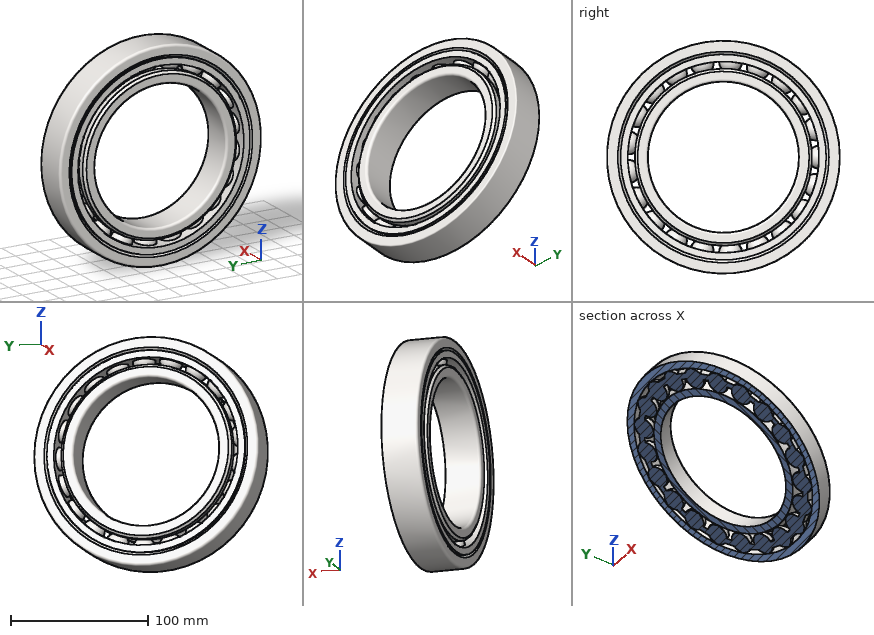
import cadquery as cq
import math

OUTER_DIAMETER = 170.0
BORE_DIAMETER = 110.0
WIDTH = 28.0

LARGE_ROUND = 2.0
OUTER_REAR_ROUND = 1.0

BALL_COUNT = 21
BALL_DIAMETER = 17.0

OUTER_LAND_RADIUS = 75.0
OUTER_FLARE_RADIUS = 77.0
OUTER_FLARE_DEPTH = 2.0

INNER_LAND_RADIUS = 64.6
INNER_BEVEL_RADIUS = 62.5
INNER_BEVEL_DEPTH = 2.0

CAGE_INNER_RADIUS = 69.7

EDGE_TOLERANCE = 0.02

outer_radius = OUTER_DIAMETER / 2
bore_radius = BORE_DIAMETER / 2
half_width = WIDTH / 2
ball_radius = BALL_DIAMETER / 2
pitch_radius = (outer_radius + bore_radius) / 2


def revolve_about_x(profile):
    """Revolve a profile drawn as (x, radius) into a ring around the X axis."""
    return profile.revolve(360, (0, 0, 0), (1, 0, 0))


def groove_half_length(land_radius):
    """Half the axial length of the ball groove where it meets a cylindrical land."""
    return math.sqrt(ball_radius**2 - (land_radius - pitch_radius) ** 2)


def round_corners(ring, corner_radius, front_round, rear_round):
    """Round the front (-X) and rear (+X) edges that lie at the given corner radius."""

    def is_corner(edge):
        box = edge.BoundingBox()
        return math.isclose(box.zmax, corner_radius, abs_tol=EDGE_TOLERANCE)

    front_edges = [edge for edge in ring.faces("<X").edges().vals() if is_corner(edge)]
    ring = ring.newObject(front_edges).fillet(front_round)
    rear_edges = [edge for edge in ring.faces(">X").edges().vals() if is_corner(edge)]
    return ring.newObject(rear_edges).fillet(rear_round)


def make_outer_ring():
    """Outer ring with flared shoulders and a ball groove on its inside."""
    groove = groove_half_length(OUTER_LAND_RADIUS)
    flare_start = half_width - OUTER_FLARE_DEPTH
    profile = (
        cq.Workplane("XY")
        .moveTo(-half_width, outer_radius)
        .lineTo(-half_width, OUTER_FLARE_RADIUS)
        .lineTo(-flare_start, OUTER_LAND_RADIUS)
        .lineTo(-groove, OUTER_LAND_RADIUS)
        .threePointArc((0, pitch_radius + ball_radius), (groove, OUTER_LAND_RADIUS))
        .lineTo(flare_start, OUTER_LAND_RADIUS)
        .lineTo(half_width, OUTER_FLARE_RADIUS)
        .lineTo(half_width, outer_radius)
        .close()
    )
    return round_corners(revolve_about_x(profile), outer_radius, LARGE_ROUND, OUTER_REAR_ROUND)


def make_inner_ring():
    """Inner ring with bevelled shoulders and a ball groove on its outside."""
    groove = groove_half_length(INNER_LAND_RADIUS)
    bevel_start = half_width - INNER_BEVEL_DEPTH
    profile = (
        cq.Workplane("XY")
        .moveTo(-half_width, bore_radius)
        .lineTo(-half_width, INNER_BEVEL_RADIUS)
        .lineTo(-bevel_start, INNER_LAND_RADIUS)
        .lineTo(-groove, INNER_LAND_RADIUS)
        .threePointArc((0, pitch_radius - ball_radius), (groove, INNER_LAND_RADIUS))
        .lineTo(bevel_start, INNER_LAND_RADIUS)
        .lineTo(half_width, INNER_BEVEL_RADIUS)
        .lineTo(half_width, bore_radius)
        .close()
    )
    return round_corners(revolve_about_x(profile), bore_radius, LARGE_ROUND, LARGE_ROUND)


def make_caged_balls():
    """Cage ring with the full set of balls joined to it, the first ball on +Y."""
    body = revolve_about_x(
        cq.Workplane("XY")
        .moveTo(0, (CAGE_INNER_RADIUS + OUTER_LAND_RADIUS) / 2)
        .rect(WIDTH, OUTER_LAND_RADIUS - CAGE_INNER_RADIUS)
    )
    ball_spacing = 360 / BALL_COUNT
    first_ball = cq.Workplane("XY").sphere(ball_radius).translate((0, pitch_radius, 0))
    for index in range(BALL_COUNT):
        body = body.union(first_ball.rotate((0, 0, 0), (1, 0, 0), index * ball_spacing))
    return body


outer_ring = make_outer_ring().solids()
inner_ring = make_inner_ring().solids()
caged_balls = make_caged_balls().solids()

result = cq.Compound.makeCompound([outer_ring.val(), inner_ring.val(), caged_balls.val()])